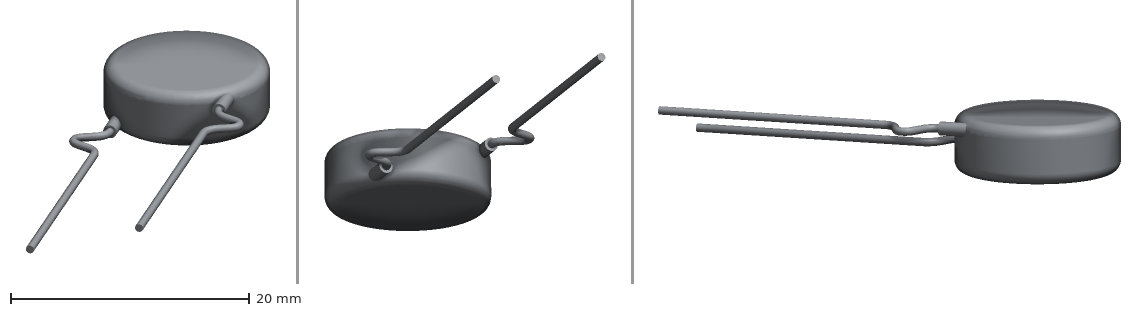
import cadquery as cq


overall_length = 39.0
overall_width = 15.15

disc_diameter = 14.0
disc_thickness = 5.0
disc_edge_radius = 1.0
disc_radius = disc_diameter / 2

lead_diameter = 0.7
lead_spacing = 9.5
lead_height_offset = 1.55
crimp_length = 5.0
crimp_apex_x = overall_width / 2 - lead_diameter / 2
crimp_end_handle = 1.7
crimp_apex_handle = 1.17
lead_sides = (-1, 1)

sleeve_diameter = 1.17
sleeve_depth = 3.0

sleeve_mouth_y = -disc_radius
lead_root_y = sleeve_mouth_y + sleeve_depth
crimp_apex_y = sleeve_mouth_y - crimp_length / 2
crimp_end_y = sleeve_mouth_y - crimp_length
lead_tip_y = disc_radius - overall_length


def rod_from_root(side, diameter):
    """Straight rod along the lead axis, from the lead root to the sleeve mouth."""
    root = cq.Vector(side * lead_spacing / 2, lead_root_y, side * lead_height_offset)
    return cq.Workplane(cq.Solid.makeCylinder(diameter / 2, sleeve_depth, root, cq.Vector(0, -1, 0)))


def make_coating():
    """Rounded disc with two integral sleeves, bored for the leads."""
    coating = (
        cq.Workplane("XY")
        .cylinder(disc_thickness, disc_radius)
        .edges("%CIRCLE")
        .fillet(disc_edge_radius)
    )
    for side in lead_sides:
        coating = coating.union(rod_from_root(side, sleeve_diameter))
    for side in lead_sides:
        coating = coating.cut(rod_from_root(side, lead_diameter))
    return coating


def make_lead(side):
    """Round wire with an outward crimp between its embedded root and its straight tail."""
    straight_x = side * lead_spacing / 2
    apex_x = side * crimp_apex_x
    path = (
        cq.Workplane("XY", origin=(0, 0, side * lead_height_offset))
        .moveTo(straight_x, lead_root_y)
        .lineTo(straight_x, sleeve_mouth_y)
        .bezier([
            (straight_x, sleeve_mouth_y),
            (straight_x, sleeve_mouth_y - crimp_end_handle),
            (apex_x, crimp_apex_y + crimp_apex_handle),
            (apex_x, crimp_apex_y),
        ])
        .bezier([
            (apex_x, crimp_apex_y),
            (apex_x, crimp_apex_y - crimp_apex_handle),
            (straight_x, crimp_end_y + crimp_end_handle),
            (straight_x, crimp_end_y),
        ])
        .lineTo(straight_x, lead_tip_y)
        .wire()
    )
    return (
        cq.Workplane("XZ", origin=(straight_x, lead_root_y, side * lead_height_offset))
        .circle(lead_diameter / 2)
        .sweep(path)
    )


coating = make_coating()
leads = [make_lead(side) for side in lead_sides]

result = cq.Compound.makeCompound([coating.solids().val(), *[lead.val() for lead in leads]])